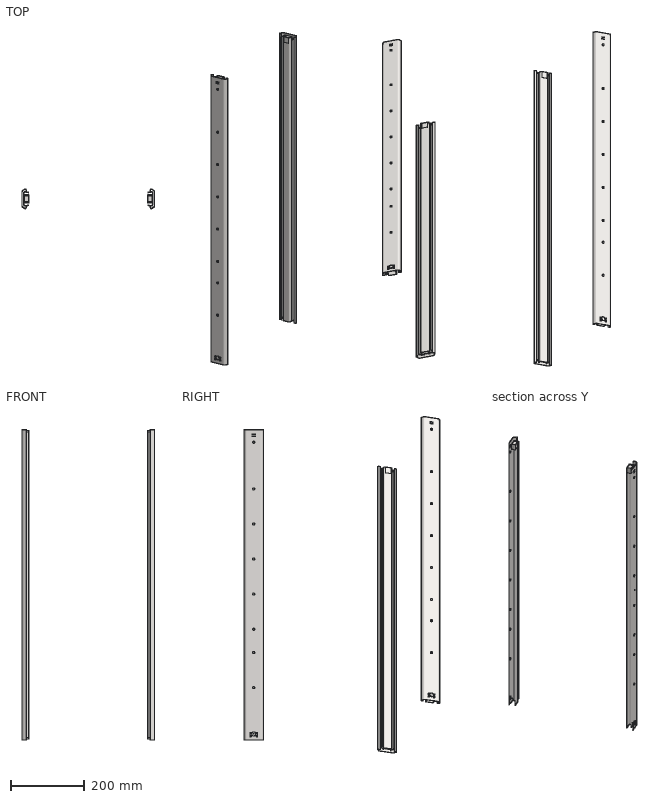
import cadquery as cq
import math

rail_length = 850.0
pair_width = 364.0
half_pair = pair_width / 2
sheet = 1.45
outer_sheet = 1.1

outer_half_width = 27.0
middle_tip_x = 19.0
lip_setback = 6.5
outer_depth = middle_tip_x - lip_setback
outer_slope = math.radians(33)
outer_web_bend = 5.0
outer_lip_bend = 2.9
outer_mouth_half = 20.0

middle_half_width = 19.5
middle_web_x = 5.0
middle_bend = 3.0
raceway_radius = 25.5
raceway_start_x = 10.0
middle_end_recess = 7.2
middle_length = rail_length - 2 * middle_end_recess

inner_half_width = 12.0
inner_web_x = 19.5
inner_tip_x = 7.1
inner_bend = 2.5
inner_end_recess = 2.5
inner_length = rail_length - 2 * inner_end_recess

block_half_width = 7.8
block_length = 17.0
block_top_z = inner_length / 2

screw_hole_diameter = 5.8
hole_pitch = 96.0
top_hole_inset = 35.0
top_hole_gap = 127.5
lower_hole_gap = 64.0
run_count = 5
top_hole_z = rail_length / 2 - top_hole_inset
run_start_z = top_hole_z - top_hole_gap
lower_hole_z = run_start_z - (run_count - 1) * hole_pitch - lower_hole_gap
screw_hole_heights = [top_hole_z, lower_hole_z, lower_hole_z - hole_pitch]
screw_hole_heights += [run_start_z - i * hole_pitch for i in range(run_count)]

slit_width = 8.5
slit_height = 1.0
slit_heights = [412.0, 407.0]

port_diameter = 11.0
port_z = -408.0
ear_diameter = 4.0
ear_offset_y = 7.9
ear_heights = [-406.0, -414.0]
pin_hole_diameter = 2.0


def bar(outline, length):
    """Extrude a closed XY outline, centred on Z = 0."""
    return outline.extrude(length / 2, both=True)


def hollow(solid, length, wall):
    """Leave a wall of even thickness around a bar."""
    core = solid.faces(">Z").wires().toPending().workplane(origin=(0, 0, length / 2))
    core = core.offset2D(-wall).extrude(-length, combine=False)
    return solid.cut(core)


def block(x_start, x_end, half_width, z_bottom, z_top):
    """Box between two X positions and two Z positions, centred on Y."""
    size = (x_end - x_start, 2 * half_width, z_top - z_bottom)
    return cq.Workplane("XY").box(*size, centered=(False, True, False)).translate((x_start, 0, z_bottom))


def web_holes(diameter, places, web_x, wall):
    """Cylinders along X through the web that starts at web_x, at (y, z) places."""
    return cq.Workplane("YZ", origin=(web_x, 0, 0)).pushPoints(places).circle(diameter / 2).extrude(wall)


def make_outer_rail():
    crown_y = outer_half_width - outer_lip_bend + outer_lip_bend / math.cos(outer_slope)
    web_corner_y = crown_y - math.tan(outer_slope) * (outer_depth - outer_lip_bend)
    lip_corner_y = web_corner_y + math.tan(outer_slope) * outer_depth
    outline = cq.Workplane("XY").polyline([
        (0, -web_corner_y),
        (outer_depth, -lip_corner_y),
        (outer_depth, lip_corner_y),
        (0, web_corner_y),
    ]).close()
    rail = bar(outline, rail_length)
    rail = rail.edges("|Z and <X").fillet(outer_web_bend)
    rail = rail.edges("|Z and (>Y or <Y)").fillet(outer_lip_bend)
    rail = hollow(rail, rail_length, outer_sheet)
    end_z = rail_length / 2
    rail = rail.cut(block(outer_depth - 2 * outer_sheet, outer_depth, outer_mouth_half, -end_z, end_z))

    rail = rail.cut(web_holes(screw_hole_diameter, [(0, z) for z in screw_hole_heights], 0, outer_sheet))
    for z in slit_heights:
        rail = rail.cut(block(0, outer_sheet, slit_width / 2, z - slit_height / 2, z + slit_height / 2))
    rail = rail.cut(web_holes(port_diameter, [(0, port_z)], 0, outer_sheet))
    ears = [(side * ear_offset_y, z) for side in (-1, 1) for z in ear_heights]
    return rail.cut(web_holes(ear_diameter, ears, 0, outer_sheet))


def make_middle_rail():
    closed_x = middle_tip_x + 2 * sheet

    def raceway_y(x):
        drop = raceway_radius - math.sqrt(raceway_radius**2 - (x - raceway_start_x) ** 2)
        return middle_half_width - drop

    halfway_x = (raceway_start_x + closed_x) / 2
    outline = (
        cq.Workplane("XY")
        .moveTo(middle_web_x, -middle_half_width)
        .lineTo(raceway_start_x, -middle_half_width)
        .threePointArc((halfway_x, -raceway_y(halfway_x)), (closed_x, -raceway_y(closed_x)))
        .lineTo(closed_x, raceway_y(closed_x))
        .threePointArc((halfway_x, raceway_y(halfway_x)), (raceway_start_x, middle_half_width))
        .lineTo(middle_web_x, middle_half_width)
        .close()
    )
    rail = bar(outline, middle_length).edges("|Z and <X").fillet(middle_bend)
    rail = hollow(rail, middle_length, sheet)
    end_z = middle_length / 2
    rail = rail.cut(block(middle_tip_x, closed_x, middle_half_width, -end_z, end_z))
    return rail.cut(web_holes(pin_hole_diameter, [(0, port_z)], middle_web_x, sheet))


def make_inner_rail():
    closed_x = inner_tip_x - 2 * sheet
    end_z = inner_length / 2
    rail = block(closed_x, inner_web_x, inner_half_width, -end_z, end_z)
    rail = rail.edges("|Z and >X").fillet(inner_bend)
    rail = hollow(rail, inner_length, sheet)
    return rail.cut(block(closed_x, inner_tip_x, inner_half_width, -end_z, end_z))


def make_end_block():
    return block(
        inner_tip_x, inner_web_x - sheet, block_half_width, block_top_z - block_length, block_top_z
    )


bodies = []
for make_body in (make_outer_rail, make_middle_rail, make_inner_rail, make_end_block):
    left = make_body().translate((-half_pair, 0, 0))
    right = left.mirror("YZ")
    bodies += [left.val(), right.val()]

result = cq.Compound.makeCompound(bodies)